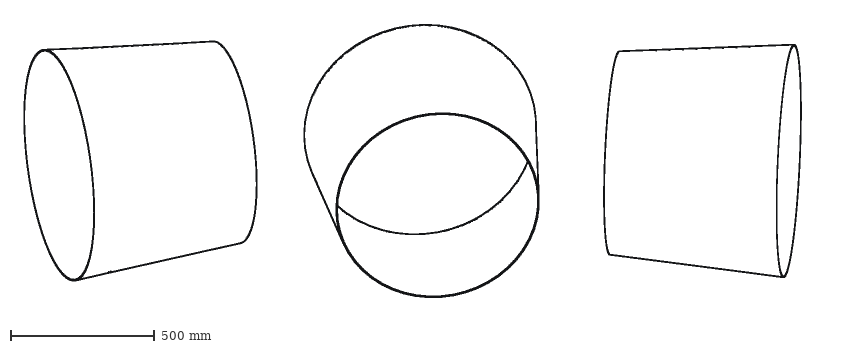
import cadquery as cq

wide_diameter = 812.8
narrow_diameter = 711.2
length = 610.0
wall = 4.0

wide_radius = wide_diameter / 2
narrow_radius = narrow_diameter / 2

wall_section = (
    cq.Workplane("XY")
    .moveTo(wide_radius - wall, 0)
    .lineTo(wide_radius, 0)
    .lineTo(narrow_radius, length)
    .lineTo(narrow_radius - wall, length)
    .close()
)

result = wall_section.revolve(360, (0, 0, 0), (0, 1, 0))